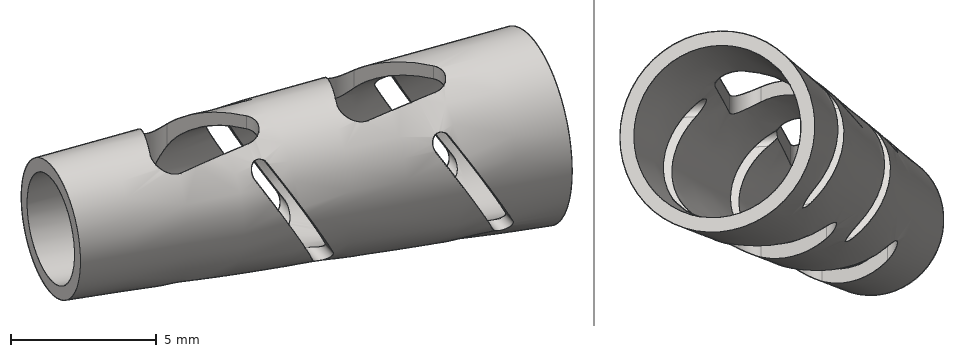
import cadquery as cq
import math

length = 18.0
wide_radius = 3.501
narrow_radius = 2.5
wall = 0.5
cut_depth = 2 * wide_radius

window_corners = [(1.84, 10.1), (1.22, 15.17), (-3.05, 11.38)]
window_corner_radius = 0.72
window_pitch = 7.0
window_count = 2

slot_width = 0.7
slot_ends = [
    ((15.77, -2.03), (13.46, 1.7)),
    ((9.22, -2.02), (6.91, 1.8)),
]


def make_tube():
    """Revolve the slanted wall section about the Y axis."""
    section = [
        (narrow_radius - wall, 0),
        (narrow_radius, 0),
        (wide_radius, length),
        (wide_radius - wall, length),
    ]
    return cq.Workplane("XY").polyline(section).close().revolve(360, (0, 0, 0), (0, 1, 0))


def make_window(shift):
    """Triangular prism with rounded edges, moved along Y by shift."""
    prism = cq.Workplane("XY").polyline(window_corners).close().extrude(cut_depth, both=True)
    return prism.edges("|Z").fillet(window_corner_radius).translate((0, shift, 0))


def make_slot(low_end, high_end):
    """Round-ended bar along X whose end arcs are centred on the two given points."""
    start = cq.Vector(*low_end)
    run = cq.Vector(*high_end) - start
    centre = start + run * 0.5
    angle = math.degrees(math.atan2(run.y, run.x))
    return (
        cq.Workplane("YZ")
        .center(centre.x, centre.y)
        .transformed(rotate=(0, 0, angle))
        .slot2D(run.Length + slot_width, slot_width)
        .extrude(cut_depth, both=True)
    )


result = make_tube()
for index in range(window_count):
    result = result.cut(make_window(-index * window_pitch))
for low_end, high_end in slot_ends:
    result = result.cut(make_slot(low_end, high_end))